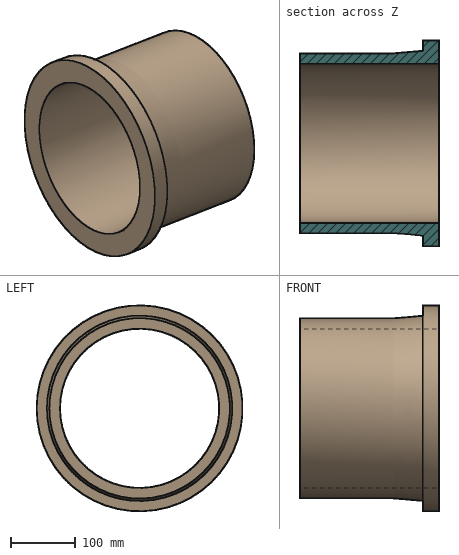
import cadquery as cq

total_length = 216.0
bore_diameter = 246.7

pipe_diameter = 280.0

neck_length = 46.0
neck_end_diameter = 288.0

flange_diameter = 320.0
flange_thickness = 25.0

flange_start = total_length - flange_thickness
neck_start = flange_start - neck_length

half_section = (
    cq.Workplane("XY")
    .moveTo(0, bore_diameter / 2)
    .lineTo(0, pipe_diameter / 2)
    .lineTo(neck_start, pipe_diameter / 2)
    .lineTo(flange_start, neck_end_diameter / 2)
    .lineTo(flange_start, flange_diameter / 2)
    .lineTo(total_length, flange_diameter / 2)
    .lineTo(total_length, bore_diameter / 2)
    .close()
)

result = half_section.revolve(360, (0, 0, 0), (1, 0, 0))